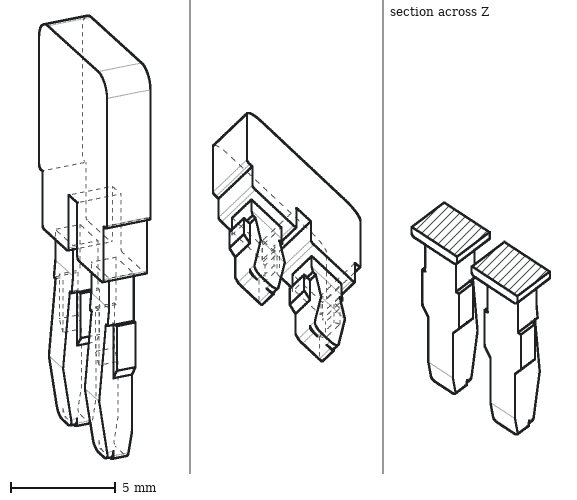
import cadquery as cq

total_height = 20.8
head_width = 7.7
housing_depth = 2.3
head_bottom = 12.83
head_top_radius = 1.0
small_radius = 0.2
sleeve_bottom = 9.82
sleeves_width = 6.95
sleeve_gap = 0.95

prong_pitch = 4.08
neck_width = 2.02
blade_width = 1.62
prong_back = 0.65
prong_front = -0.67
bend_height = 8.2
crest_height = 3.29
crest_front = -1.1
back_taper_height = 1.35
tip_back = 0.42
tip_front = -0.6
back_tip_radius = 0.25
front_tip_radius = 0.5

wing_span = 2.41
wing_front = -0.35
wing_top = 7.3
wing_taper_top = 4.93
wing_bottom = 4.37


def box_between(x_center, width, back, front, bottom, top):
    """Upright box given by its center in X and its limits in Y and Z."""
    return cq.Workplane("XY").box(
        width, back - front, top - bottom, centered=False
    ).translate((x_center - width / 2, front, bottom))


def make_housing():
    half_depth = housing_depth / 2
    head = box_between(0, head_width, half_depth, -half_depth, head_bottom, total_height)
    head = head.edges("|Y and >Z").fillet(head_top_radius)
    head = head.edges("|Y and <Z").fillet(small_radius)
    sleeve_width = (sleeves_width - sleeve_gap) / 2
    sleeve_offset = (sleeves_width + sleeve_gap) / 4
    for side in (-1, 1):
        sleeve = box_between(
            side * sleeve_offset, sleeve_width, half_depth, -half_depth, sleeve_bottom, head_bottom
        )
        head = head.union(sleeve.edges("|Y and <Z").fillet(small_radius))
    return head


def rounded_blade(back, front, tip_radius):
    """Envelope of the narrow blade with rounded lower corners."""
    blade = box_between(0, blade_width, back, front, 0, wing_top)
    return blade.edges("|Y and <Z").fillet(tip_radius)


def make_prong():
    profile = (
        cq.Workplane("YZ")
        .polyline([
            (prong_back, sleeve_bottom),
            (prong_front, sleeve_bottom),
            (prong_front, bend_height),
            (crest_front, crest_height),
            (tip_front, 0),
            (tip_back, 0),
            (prong_back, back_taper_height),
        ])
        .close()
        .extrude(neck_width / 2, both=True)
    )
    envelope = box_between(0, neck_width, prong_back, crest_front, wing_top, sleeve_bottom)
    envelope = envelope.union(rounded_blade(prong_back, wing_front, back_tip_radius))
    envelope = envelope.union(rounded_blade(wing_front, crest_front, front_tip_radius))
    prong = profile.intersect(envelope)

    half_span = wing_span / 2
    half_blade = blade_width / 2
    wings = (
        cq.Workplane("XZ", origin=(0, prong_back, 0))
        .polyline([
            (-half_span, wing_top),
            (half_span, wing_top),
            (half_span, wing_taper_top),
            (half_blade, wing_bottom),
            (-half_blade, wing_bottom),
            (-half_span, wing_taper_top),
        ])
        .close()
        .extrude(prong_back - wing_front)
    )
    return prong.union(wings)


result = make_housing()
for side in (-1, 1):
    result = result.union(make_prong().translate((side * prong_pitch / 2, 0, 0)))